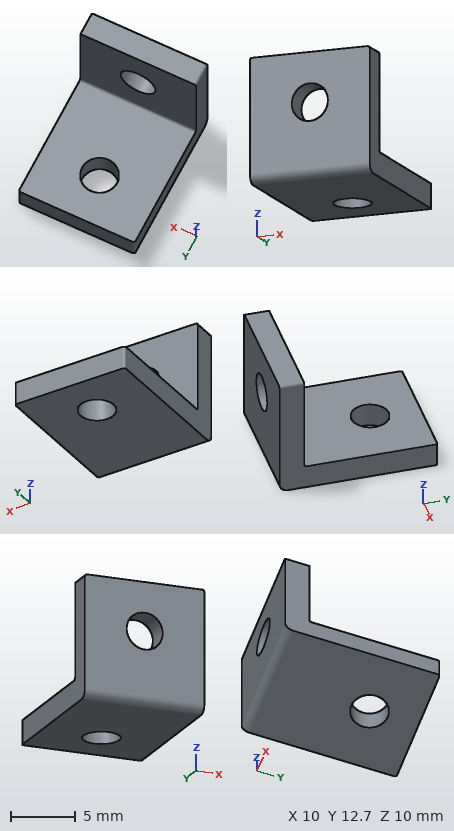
import cadquery as cq

width = 10.0
base_length = 12.7
upright_height = 10.0
thickness = 2.0

outer_bend_radius = 0.67
inner_bend_radius = 0.2
corner_radius = 0.2

hole_diameter = 3.0
hole_end_distance = 4.0


def make_angle():
    """L profile in the YZ plane, extruded across the width and centred on X."""
    profile = [
        (0, 0),
        (base_length, 0),
        (base_length, thickness),
        (thickness, thickness),
        (thickness, upright_height),
        (0, upright_height),
    ]
    angle = cq.Workplane("YZ").polyline(profile).close().extrude(width / 2, both=True)

    outer_bend = cq.selectors.NearestToPointSelector((0, 0, 0))
    inner_bend = cq.selectors.NearestToPointSelector((0, thickness, thickness))
    angle = angle.edges("|X").edges(outer_bend).fillet(outer_bend_radius)
    return angle.edges("|X").edges(inner_bend).fillet(inner_bend_radius)


def round_free_corners(body):
    """Round the two corners at the free end of each leg."""
    body = body.faces(">Z").edges("|Y").fillet(corner_radius)
    return body.faces(">Y").edges("|Z").fillet(corner_radius)


def make_hole_cutters():
    """Cylinders through the base (along Z) and the upright (along Y)."""
    hole_radius = hole_diameter / 2
    base_cutter = cq.Workplane("XY").center(0, base_length - hole_end_distance)
    base_cutter = base_cutter.circle(hole_radius).extrude(thickness)
    upright_cutter = cq.Workplane("XZ").center(0, upright_height - hole_end_distance)
    upright_cutter = upright_cutter.circle(hole_radius).extrude(-thickness)
    return base_cutter.union(upright_cutter)


result = round_free_corners(make_angle()).cut(make_hole_cutters())